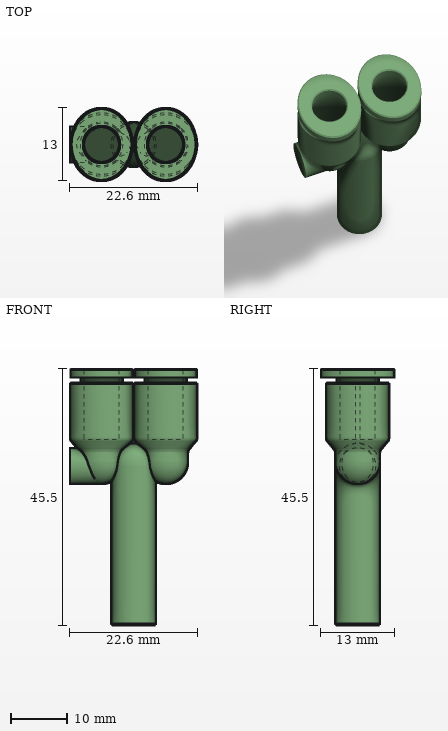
import cadquery as cq


total_height = 45.45
socket_pitch = 11.35
body_radius = 11.23 / 2
outer_half_width = socket_pitch / 2 + body_radius

cap_width = 11.05
cap_depth = 13.0
cap_thickness = 1.6
cap_edge_chamfer = 0.23
neck_radius = 3.75
cap_bottom = total_height - cap_thickness

body_top = 43.05
body_top_chamfer = 0.3
cone_top = 32.9
cone_bottom = 30.95
shoulder_fillet = 0.75
waist_fillet = 0.9
foot_radius = 4.0
foot_bottom = 25.0
foot_center = foot_bottom + foot_radius

bore_radius = 3.1
bore_floor = cone_top
bore_mouth_chamfer = 0.23

stem_radius = 4.0
stem_dome_center = 28.25
stem_end_chamfer = 0.3

plug_radius = 3.23
plug_center = foot_bottom + plug_radius

web_thickness = 0.8
web_length = 2.73


def ring_edge(radius, height):
    """Select the circular edges of a turned part near one radius and height."""
    margin = 0.023
    reach = radius + margin
    return cq.selectors.BoxSelector(
        (-reach, -reach, height - margin), (reach, reach, height + margin), boundingbox=True
    )


def make_body():
    """Turned body about the Z axis, from the hemispherical foot to the neck."""
    foot_side = foot_radius * 0.5**0.5
    body = (
        cq.Workplane("XZ")
        .moveTo(0, foot_bottom)
        .threePointArc((foot_side, foot_center - foot_side), (foot_radius, foot_center))
        .lineTo(foot_radius, cone_bottom)
        .lineTo(body_radius, cone_top)
        .lineTo(body_radius, body_top)
        .lineTo(0, body_top)
        .close()
        .revolve(360, (0, 0, 0), (0, 1, 0))
    )
    body = body.edges(ring_edge(foot_radius, cone_bottom)).fillet(waist_fillet)
    body = body.edges(ring_edge(body_radius, cone_top)).fillet(shoulder_fillet)
    return body.faces(">Z").edges().chamfer(body_top_chamfer)


def make_cap():
    """Oval cap standing on its neck."""
    cap = (
        cq.Workplane("XY", origin=(0, 0, cap_bottom))
        .ellipse(cap_width / 2, cap_depth / 2)
        .extrude(cap_thickness)
        .faces(">Z")
        .edges()
        .chamfer(cap_edge_chamfer)
    )
    neck = (
        cq.Workplane("XY", origin=(0, 0, body_top))
        .circle(neck_radius)
        .extrude(cap_bottom - body_top)
    )
    return cap.union(neck)


def make_bore():
    """Blind tube bore with a chamfered mouth."""
    return (
        cq.Workplane("XZ")
        .moveTo(0, bore_floor)
        .lineTo(bore_radius, bore_floor)
        .lineTo(bore_radius, total_height - bore_mouth_chamfer)
        .lineTo(bore_radius + bore_mouth_chamfer, total_height)
        .lineTo(0, total_height)
        .close()
        .revolve(360, (0, 0, 0), (0, 1, 0))
    )


def make_stem():
    """Round stem with a chamfered free end and a spherical top."""
    shaft = (
        cq.Workplane("XY")
        .circle(stem_radius)
        .extrude(stem_dome_center)
        .faces("<Z")
        .edges()
        .chamfer(stem_end_chamfer)
    )
    dome = cq.Workplane("XY", origin=(0, 0, stem_dome_center)).sphere(stem_radius)
    return shaft.union(dome)


def make_plug():
    """Side plug from the left-hand socket axis out to the side of the body."""
    return (
        cq.Workplane("YZ", origin=(-outer_half_width, 0, plug_center))
        .circle(plug_radius)
        .extrude(body_radius)
    )


def make_web():
    """Upright web across the gap between the bodies, down into the stem dome."""
    web_top = body_top - body_top_chamfer
    return (
        cq.Workplane("XY", origin=(0, 0, stem_dome_center))
        .rect(web_length, web_thickness)
        .extrude(web_top - stem_dome_center)
    )


socket = make_body().union(make_cap())
bore = make_bore()
result = make_stem().union(make_web()).union(make_plug())
for side in (-1, 1):
    socket_x = side * socket_pitch / 2
    result = result.union(socket.translate((socket_x, 0, 0)))
    result = result.cut(bore.translate((socket_x, 0, 0)))